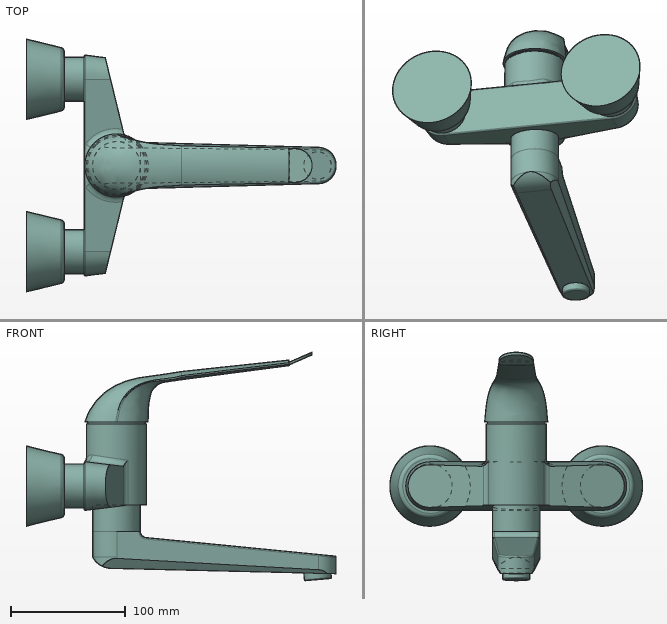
import cadquery as cq
import math


SELECT_GAP = 0.3

INLET_Y = 75.0
CONE_WALL_RADIUS = 35.0
CONE_FRONT_RADIUS = 27.0
CONE_LENGTH = 33.2
CONE_ROUND = 4.0
PIPE_RADIUS = 38.5 / 2
PIPE_OVERLAP = 2.7

BAR_BACK_X = 50.5
BAR_RADIUS = 42.5 / 2
BAR_DRAFT = 7.0
BAR_END_X = 68.8
BAR_FRONT_X = 86.3
BAR_END_Y = INLET_Y + BAR_RADIUS
BAR_FRONT_HALF_Y = 22.0
BAR_EDGE_ROUND = 1.0

AXIS_X = 78.5
BARREL_RADIUS = 26.2
BARREL_BOTTOM_Z = -16.5
BARREL_TOP_Z = 54.2
LEVER_BASE_Z = 55.8
GROOVE_DEPTH = 1.0
BARREL_ROOT_ROUND = 6.0

COLUMN_RADIUS = 41.5 / 2
SPOUT_REACH_X = 269.7
TIP_RADIUS = 16.0
TIP_X = SPOUT_REACH_X - TIP_RADIUS
ARM_TOP_ROOT_Z = -44.8
ARM_TOP_TIP_Z = -61.0
HEEL_Z = -61.8
HEEL_FLOOR_X = 75.8
HEEL_FLOOR_Z = -71.8
HEEL_MID = (64.7, -69.0)
FLOOR_TIP_Z = -76.3
BEVEL_TIP_Z = -72.3
FLOOR_ROOT_HALF_Y = 15.5
FLOOR_TIP_HALF_Y = 13.5
BEVEL_MARGIN = 0.5
ARM_ROOT_ROUND = 5.5
ARM_TOP_ROUND = 1.3
AERATOR_RADIUS = 23.7 / 2
AERATOR_CENTRE_Z = -81.5
AERATOR_LENGTH = 8.0
AERATOR_TILT = 5.0
AERATOR_ROUND = 1.0

LEVER_BASE_RADIUS = 27.5
LEVER_EDGE_THICKNESS = 1.3
LEVER_SECTIONS = [
    (
        (AXIS_X - LEVER_BASE_RADIUS, LEVER_BASE_Z),
        (AXIS_X + LEVER_BASE_RADIUS, LEVER_BASE_Z),
        LEVER_BASE_RADIUS,
        0.5,
    ),
    ((56.0, 67.5), (106.3, 62.0), 26.7, 0.48),
    ((68.2, 81.5), (106.8, 72.3), 24.8, 0.45),
    ((84.7, 90.5), (109.2, 81.5), 21.8, 0.45),
    ((106.5, 95.8), (114.5, 88.2), 19.0, 0.55),
    ((135.0, 99.8), (135.7, 92.5), 17.0, 0.6),
    ((228.5, 109.8), (229.0, 104.7), 15.0, 0.6),
]
THUMB_END_X = 248.7
THUMB_TOP_Z = 116.5
THUMB_START_X = 228.2
THUMB_START_Z = 105.2
THUMB_THICKNESS = 2.5
THUMB_RADIUS = 14.8


def make_inlet(y):
    cone = (
        cq.Workplane("XY")
        .polyline([(0, 0), (0, CONE_WALL_RADIUS), (CONE_LENGTH, CONE_FRONT_RADIUS), (CONE_LENGTH, 0)])
        .close()
        .revolve(360, (0, 0, 0), (1, 0, 0))
        .faces(">X").edges().fillet(CONE_ROUND)
    )
    pipe = cq.Workplane("YZ").circle(PIPE_RADIUS).extrude(BAR_BACK_X + PIPE_OVERLAP)
    return cone.union(pipe).translate((0, y, 0))


def make_bar():
    drafted = (
        cq.Workplane("YZ", origin=(BAR_BACK_X, 0, 0))
        .slot2D(2 * BAR_END_Y, 2 * BAR_RADIUS)
        .extrude(BAR_FRONT_X - BAR_BACK_X, taper=BAR_DRAFT)
    )
    end_y = BAR_END_Y - (BAR_END_X - BAR_BACK_X) * math.tan(math.radians(BAR_DRAFT))
    plan = (
        cq.Workplane("XY")
        .polyline([
            (BAR_BACK_X, -BAR_END_Y), (BAR_BACK_X, BAR_END_Y), (BAR_END_X, end_y),
            (BAR_FRONT_X, BAR_FRONT_HALF_Y), (BAR_FRONT_X, -BAR_FRONT_HALF_Y), (BAR_END_X, -end_y),
        ])
        .close()
        .extrude(2 * BAR_RADIUS, both=True)
    )
    bar = drafted.intersect(plan)
    return bar.faces("<X").edges().fillet(BAR_EDGE_ROUND)


def make_valve():
    barrel = (
        cq.Workplane("XY", origin=(AXIS_X, 0, BARREL_BOTTOM_Z))
        .circle(BARREL_RADIUS)
        .extrude(BARREL_TOP_Z - BARREL_BOTTOM_Z)
    )
    neck = (
        cq.Workplane("XY", origin=(AXIS_X, 0, BARREL_TOP_Z))
        .circle(BARREL_RADIUS - GROOVE_DEPTH)
        .extrude(LEVER_BASE_Z - BARREL_TOP_Z)
    )
    valve = make_bar().union(barrel)
    root_box = cq.selectors.BoxSelector(
        (BAR_BACK_X + BARREL_ROOT_ROUND, -BARREL_RADIUS, -BAR_RADIUS / 2),
        (BAR_FRONT_X, BARREL_RADIUS, BAR_RADIUS),
    )
    valve = valve.edges(root_box).fillet(BARREL_ROOT_ROUND)
    for y in (-INLET_Y, INLET_Y):
        valve = valve.union(make_inlet(y))
    socket = (
        cq.Workplane("XY", origin=(AXIS_X, 0, BARREL_BOTTOM_Z))
        .circle(COLUMN_RADIUS)
        .extrude(-BAR_RADIUS)
    )
    return valve.union(neck).cut(socket)


def make_arm():
    tangent_sin = (COLUMN_RADIUS - TIP_RADIUS) / (TIP_X - AXIS_X)
    tangent_cos = math.sqrt(1 - tangent_sin ** 2)
    root = (AXIS_X + COLUMN_RADIUS * tangent_sin, COLUMN_RADIUS * tangent_cos)
    tip = (TIP_X + TIP_RADIUS * tangent_sin, TIP_RADIUS * tangent_cos)
    plan = (
        cq.Workplane("XY")
        .moveTo(*root)
        .lineTo(*tip)
        .threePointArc((SPOUT_REACH_X, 0), (tip[0], -tip[1]))
        .lineTo(root[0], -root[1])
        .threePointArc((AXIS_X - COLUMN_RADIUS, 0), root)
        .close()
        .extrude(2 * FLOOR_TIP_Z)
    )
    heel_x = AXIS_X - COLUMN_RADIUS
    column_front_x = AXIS_X + COLUMN_RADIUS
    blend_end_x = column_front_x + ARM_ROOT_ROUND
    blend_top_z = ARM_TOP_ROOT_Z + ARM_ROOT_ROUND
    profile = (
        cq.Workplane("XZ")
        .moveTo(heel_x, blend_top_z)
        .lineTo(column_front_x, blend_top_z)
        .radiusArc((blend_end_x, ARM_TOP_ROOT_Z), -ARM_ROOT_ROUND)
        .lineTo(SPOUT_REACH_X, ARM_TOP_TIP_Z)
        .lineTo(SPOUT_REACH_X, FLOOR_TIP_Z)
        .lineTo(HEEL_FLOOR_X, HEEL_FLOOR_Z)
        .threePointArc(HEEL_MID, (heel_x, HEEL_Z))
        .close()
        .extrude(2 * COLUMN_RADIUS, both=True)
    )

    def bevel_section(half_width, bevel_z, floor_half, floor_z):
        right_side = [(half_width, 0), (half_width, bevel_z), (floor_half, floor_z)]
        return right_side + [(-y, z) for y, z in reversed(right_side)]

    bevelled = (
        cq.Workplane("YZ", origin=(heel_x, 0, 0))
        .polyline(bevel_section(COLUMN_RADIUS + BEVEL_MARGIN, HEEL_Z, FLOOR_ROOT_HALF_Y, HEEL_FLOOR_Z))
        .close()
        .workplane(offset=SPOUT_REACH_X - heel_x)
        .polyline(bevel_section(TIP_RADIUS + BEVEL_MARGIN, BEVEL_TIP_Z, FLOOR_TIP_HALF_Y, FLOOR_TIP_Z))
        .close()
        .loft(ruled=True)
    )
    arm = plan.intersect(profile).intersect(bevelled)
    top_rim = cq.selectors.BoxSelector(
        (blend_end_x + SELECT_GAP, -COLUMN_RADIUS, ARM_TOP_TIP_Z - SELECT_GAP),
        (SPOUT_REACH_X, COLUMN_RADIUS, ARM_TOP_ROOT_Z),
    )
    return arm.edges(top_rim).fillet(ARM_TOP_ROUND)


def make_spout():
    column = (
        cq.Workplane("XY", origin=(AXIS_X, 0, BARREL_BOTTOM_Z))
        .circle(COLUMN_RADIUS)
        .extrude(HEEL_Z - BARREL_BOTTOM_Z)
    )
    aerator = (
        cq.Workplane("XY")
        .circle(AERATOR_RADIUS)
        .extrude(AERATOR_LENGTH)
        .faces("<Z").edges().fillet(AERATOR_ROUND)
        .rotate((0, 0, 0), (0, 1, 0), -AERATOR_TILT)
        .translate((TIP_X, 0, AERATOR_CENTRE_Z))
    )
    return make_arm().union(column).union(aerator)


def lever_section(crown, underside, half_width, edge_fraction):
    depth = math.dist(crown, underside)
    down = ((underside[0] - crown[0]) / depth, 0, (underside[1] - crown[1]) / depth)
    normal = cq.Vector(down).cross(cq.Vector(0, 1, 0))
    plane = cq.Plane(origin=(crown[0], 0, crown[1]), xDir=down, normal=normal)
    upper_edge = edge_fraction * depth - LEVER_EDGE_THICKNESS / 2
    lower_edge = upper_edge + LEVER_EDGE_THICKNESS
    return (
        cq.Workplane(plane)
        .moveTo(upper_edge, -half_width)
        .threePointArc((0, 0), (upper_edge, half_width))
        .lineTo(lower_edge, half_width)
        .threePointArc((depth, 0), (lower_edge, -half_width))
        .close()
        .val()
    )


def make_lever():
    sections = [lever_section(*section) for section in LEVER_SECTIONS]
    hood = cq.Workplane(cq.Solid.makeLoft(sections[:-1]))
    grip = cq.Workplane(cq.Solid.makeLoft(sections[-2:], True))
    handle = hood.union(grip)
    thumb = (
        cq.Workplane("XZ")
        .polyline([
            (THUMB_START_X, THUMB_START_Z),
            (THUMB_END_X, THUMB_TOP_Z - THUMB_THICKNESS),
            (THUMB_END_X, THUMB_TOP_Z),
            (THUMB_START_X, THUMB_START_Z + THUMB_THICKNESS),
        ])
        .close()
        .extrude(THUMB_RADIUS, both=True)
    )
    thumb_plan = (
        cq.Workplane("XY", origin=(THUMB_END_X, 0, LEVER_BASE_Z))
        .center(-2 * THUMB_RADIUS, 0)
        .slot2D(4 * THUMB_RADIUS, 2 * THUMB_RADIUS)
        .extrude(THUMB_TOP_Z)
    )
    return handle.union(thumb.intersect(thumb_plan))


valve = make_valve()
spout = make_spout()
lever = make_lever()

result = cq.Compound.makeCompound([valve.solids().val(), spout.solids().val(), lever.solids().val()])